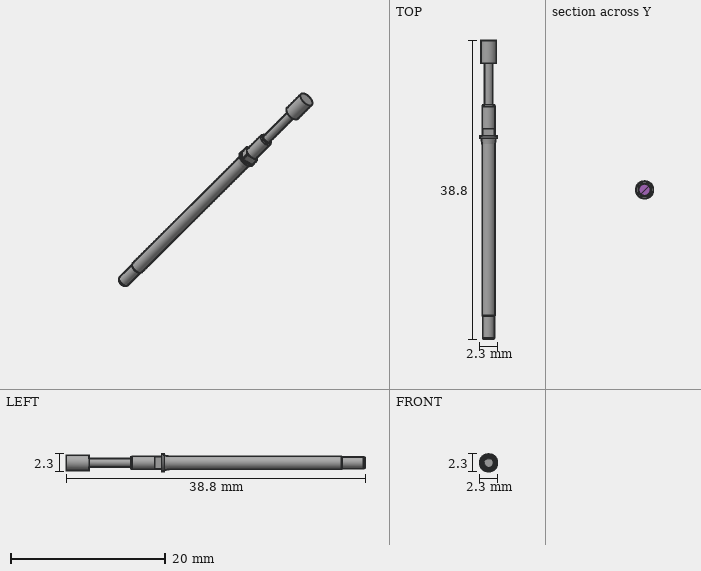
import cadquery as cq

LENGTH = 38.8
HEAD_END_Y = LENGTH / 2

HEAD_DIAMETER = 2.0
HEAD_LENGTH = 3.0
STEM_DIAMETER = 1.13

BARREL_DIAMETER = 1.7
BARREL_START = 8.4
BARREL_END = 35.8
MOUTH_CHAMFER = 0.25
BARREL_END_CHAMFER = 0.1

FLANGE_DIAMETER = 2.3
FLANGE_START = 12.4
FLANGE_THICKNESS = 0.3
COLLAR_LENGTH = 0.95
COLLAR_ACROSS_FLATS = BARREL_DIAMETER

FLARE_DIAMETER = 1.95
FLARE_LENGTH = 0.75

TAIL_DIAMETER = 1.55
TAIL_CHAMFER = 0.25


def cylinder(diameter, start, length):
    """Cylinder on the Y axis; start is its distance from the head face."""
    plane = cq.Workplane("XZ", origin=(0, HEAD_END_Y - start, 0))
    return plane.circle(diameter / 2).extrude(length)


def plunger():
    head = cylinder(HEAD_DIAMETER, 0, HEAD_LENGTH)
    stem = cylinder(STEM_DIAMETER, HEAD_LENGTH, BARREL_START - HEAD_LENGTH)
    return head.union(stem)


def barrel():
    body = cylinder(BARREL_DIAMETER, BARREL_START, BARREL_END - BARREL_START)
    body = body.faces(">Y").chamfer(MOUTH_CHAMFER, MOUTH_CHAMFER / 2)
    return body.faces("<Y").chamfer(BARREL_END_CHAMFER)


def collar():
    """Four flats cut on a round of the flange diameter."""
    start = FLANGE_START - COLLAR_LENGTH
    blank = cylinder(FLANGE_DIAMETER, start, COLLAR_LENGTH)
    square = cq.Workplane("XY").box(COLLAR_ACROSS_FLATS, LENGTH, COLLAR_ACROSS_FLATS)
    return blank.intersect(square)


def flange():
    return cylinder(FLANGE_DIAMETER, FLANGE_START, FLANGE_THICKNESS)


def flare():
    """Cone from the flange down to the barrel diameter."""
    start_y = HEAD_END_Y - FLANGE_START - FLANGE_THICKNESS
    end_y = start_y - FLARE_LENGTH
    profile = cq.Workplane("XY").polyline([
        (0, end_y),
        (BARREL_DIAMETER / 2, end_y),
        (FLARE_DIAMETER / 2, start_y),
        (0, start_y),
    ]).close()
    return profile.revolve(360, (0, 0, 0), (0, 1, 0))


def tail():
    pin = cylinder(TAIL_DIAMETER, BARREL_END, LENGTH - BARREL_END)
    return pin.faces("<Y").chamfer(TAIL_CHAMFER, TAIL_CHAMFER / 2)


result = plunger()
for section in (barrel(), collar(), flange(), flare(), tail()):
    result = result.union(section)